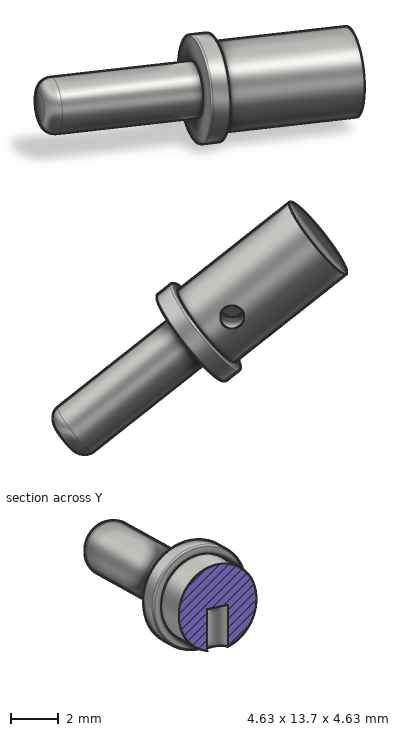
import cadquery as cq

total_length = 13.65

barrel_diameter = 3.85
barrel_length = 6.0

collar_diameter = 4.63
collar_thickness = 0.86
collar_edge_radius = 0.08

pin_diameter = 2.42
pin_length = total_length - barrel_length - collar_thickness
pin_tip_radius = 0.6

side_hole_diameter = 1.0
side_hole_from_barrel_end = 4.63
side_hole_y = total_length - side_hole_from_barrel_end
side_hole_depth = barrel_diameter / 2


def cylinder_along_y(diameter, start_y, length):
    """Solid cylinder on the Y axis, growing toward +Y from start_y."""
    base = cq.Workplane("XZ", origin=(0, start_y, 0))
    return base.circle(diameter / 2).extrude(-length)


pin = cylinder_along_y(pin_diameter, 0, pin_length)
pin = pin.faces("<Y").edges().fillet(pin_tip_radius)

collar = cylinder_along_y(collar_diameter, pin_length, collar_thickness)
collar = collar.faces("<Y or >Y").edges().fillet(collar_edge_radius)

barrel = cylinder_along_y(barrel_diameter, pin_length + collar_thickness, barrel_length)

side_hole = (
    cq.Workplane("XY", origin=(0, side_hole_y, 0))
    .circle(side_hole_diameter / 2)
    .extrude(-side_hole_depth)
)

result = pin.union(collar).union(barrel).cut(side_hole)